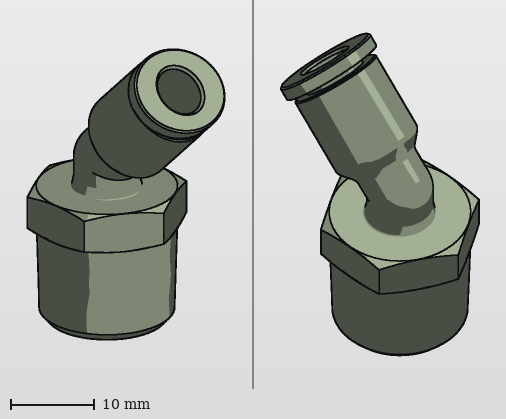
import cadquery as cq
import math

tip_radius = 7.2
tip_chamfer_height = 1.1
stud_lower_radius = 8.15
stud_upper_radius = 8.45
stud_length = 12.0

hex_across_flats = 17.0
hex_height = 5.0
hex_bevel_angle = math.radians(20)
hex_face_radius = 8.45

neck_radius = 4.0
neck_foot_radius = 4.25
neck_foot_height = 1.35
neck_foot_fillet = 0.22
elbow_z = 20.9
bend_angle = 45

sleeve_radius = 5.6
sleeve_flare_start = 3.45
sleeve_flare_angle = math.radians(40)
sleeve_flare_fillet = 1.0
sleeve_end = 15.48
sleeve_rim_chamfer = 0.2

stem_radius = 3.88
flange_bottom = 16.25
flange_top = 17.95
flange_half_width = 6.53
flange_half_height = 5.5
flange_rim_chamfer = 0.22
socket_radius = 3
socket_mouth_radius = 3.32

hex_top = stud_length + hex_height
hex_corner_radius = hex_across_flats / math.sqrt(3)
sleeve_flare_end = sleeve_flare_start + (sleeve_radius - neck_radius) / math.tan(sleeve_flare_angle)


def revolve_about_z(profile):
    """Turn a closed (radius, height) outline around the Z axis."""
    return cq.Workplane("XZ").polyline(profile).close().revolve(360, (0, 0, 0), (0, 1, 0))


def make_stud():
    return revolve_about_z([
        (0, 0),
        (tip_radius, 0),
        (stud_lower_radius, tip_chamfer_height),
        (stud_upper_radius, stud_length),
        (0, stud_length),
    ])


def make_hexagon():
    prism = (
        cq.Workplane("XY")
        .workplane(offset=stud_length)
        .polygon(6, 2 * hex_corner_radius)
        .extrude(hex_height)
    )
    bevel_drop = (hex_corner_radius - hex_face_radius) * math.tan(hex_bevel_angle)
    bevelled_disc = revolve_about_z([
        (0, stud_length),
        (hex_face_radius, stud_length),
        (hex_corner_radius, stud_length + bevel_drop),
        (hex_corner_radius, hex_top - bevel_drop),
        (hex_face_radius, hex_top),
        (0, hex_top),
    ])
    return prism.intersect(bevelled_disc)


def make_neck():
    neck = revolve_about_z([
        (0, hex_top),
        (neck_foot_radius, hex_top),
        (neck_radius, hex_top + neck_foot_height),
        (neck_radius, elbow_z),
        (0, elbow_z),
    ])
    elbow = cq.Workplane("XY").sphere(neck_radius).translate((0, 0, elbow_z))
    return neck.union(elbow)


def circle_at(radius, height):
    """Select the circular edge of a given radius and height around the Z axis."""
    margin = 0.05
    reach = radius + margin
    return cq.selectors.BoxSelector(
        (-reach, -reach, height - margin),
        (reach, reach, height + margin),
        boundingbox=True,
    )


def make_base():
    """Stud, hexagon and neck, with the foot of the neck blended into the hexagon."""
    base = make_stud().union(make_hexagon()).union(make_neck())
    return base.edges(circle_at(neck_foot_radius, hex_top)).fillet(neck_foot_fillet)


def make_sleeve():
    """Arm, flare and sleeve, upright with the elbow at the origin."""
    sleeve = revolve_about_z([
        (0, 0),
        (neck_radius, 0),
        (neck_radius, sleeve_flare_start),
        (sleeve_radius, sleeve_flare_end),
        (sleeve_radius, sleeve_end),
        (0, sleeve_end),
    ])
    sleeve = sleeve.faces(">Z").chamfer(sleeve_rim_chamfer)
    sleeve = sleeve.edges(circle_at(neck_radius, sleeve_flare_start)).fillet(sleeve_flare_fillet)
    return sleeve.edges(circle_at(sleeve_radius, sleeve_flare_end)).fillet(sleeve_flare_fillet)


def make_collar():
    """Stem and oval flange, upright above the sleeve."""
    stem = (
        cq.Workplane("XY")
        .workplane(offset=sleeve_end)
        .circle(stem_radius)
        .extrude(flange_bottom - sleeve_end)
    )
    flange = (
        cq.Workplane("XY")
        .workplane(offset=flange_bottom)
        .ellipse(flange_half_height, flange_half_width)
        .extrude(flange_top - flange_bottom)
        .faces(">Z")
        .chamfer(flange_rim_chamfer)
    )
    return stem.union(flange)


def make_socket():
    """Tube socket, upright, reaching down to where the sleeve reaches full width."""
    socket_floor = sleeve_flare_end
    mouth_chamfer = socket_mouth_radius - socket_radius
    return revolve_about_z([
        (0, socket_floor),
        (socket_radius, socket_floor),
        (socket_radius, flange_top - mouth_chamfer),
        (socket_mouth_radius, flange_top),
        (0, flange_top),
    ])


def tilt_onto_elbow(body):
    """Lean an upright body towards +X and set it on the elbow."""
    return body.rotate((0, 0, 0), (0, 1, 0), bend_angle).translate((0, 0, elbow_z))


arm = tilt_onto_elbow(make_sleeve().union(make_collar()))
result = make_base().union(arm).cut(tilt_onto_elbow(make_socket()))